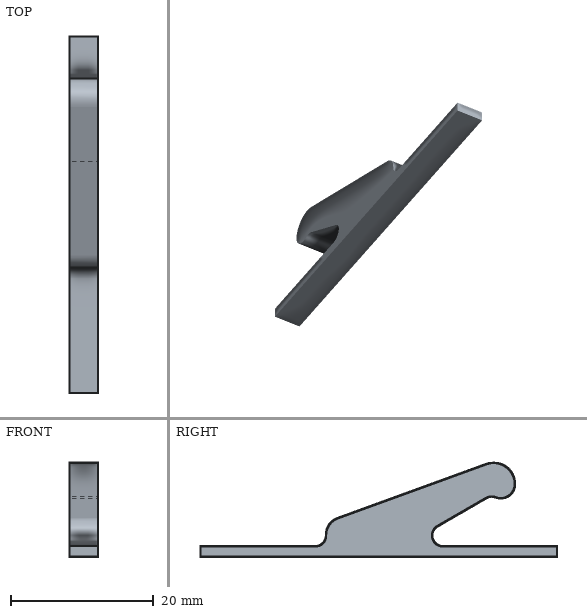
import cadquery as cq
import math

width = 4.0
length = 50.0
base_height = 1.5
overall_height = 13.2

head_end_y = 19.1
head_upper_radius = 3.0
head_lower_radius = 2.0
top_angle = math.radians(20)
underside_angle = math.radians(30)
nose_wall_y = -7.4
nose_radius = 2.5
fillet_radius = 1.5
throat_y = 9.0


def on_circle(center, radius, angle):
    """Point on a circle in the YZ plane; the angle runs from +Y towards +Z."""
    return (center[0] + radius * math.cos(angle), center[1] + radius * math.sin(angle))


def arc_to(sketch, center, radius, start_angle, end_angle):
    """Add an arc from the current point to the end angle."""
    middle = on_circle(center, radius, (start_angle + end_angle) / 2)
    return sketch.threePointArc(middle, on_circle(center, radius, end_angle))


head_z = overall_height - head_upper_radius
head_upper = (head_end_y - head_upper_radius, head_z)
head_lower = (head_end_y - head_lower_radius, head_z)

nose_y = nose_wall_y + nose_radius
nose_z = (
    head_z
    + (head_upper_radius - nose_radius) / math.cos(top_angle)
    - (head_upper[0] - nose_y) * math.tan(top_angle)
)
nose = (nose_y, nose_z)

fillet_z = base_height + fillet_radius
throat = (throat_y, fillet_z)
nose_fillet = (nose_wall_y - fillet_radius, fillet_z)

head_dy = head_lower[0] - throat[0]
head_dz = head_lower[1] - throat[1]
along = head_dy * math.cos(underside_angle) + head_dz * math.sin(underside_angle)
across = head_dz * math.cos(underside_angle) - head_dy * math.sin(underside_angle)
neck_distance = along - math.sqrt((head_lower_radius + fillet_radius) ** 2 - across**2)
neck = on_circle(throat, neck_distance, underside_angle)
neck_angle = math.atan2(head_lower[1] - neck[1], head_lower[0] - neck[0])

top_normal = math.pi / 2 + top_angle
underside_normal = math.pi / 2 + underside_angle

profile = (
    cq.Workplane("YZ", origin=(-width / 2, 0, 0))
    .moveTo(length / 2, 0)
    .lineTo(-length / 2, 0)
    .lineTo(-length / 2, base_height)
    .lineTo(nose_fillet[0], base_height)
)
profile = arc_to(profile, nose_fillet, fillet_radius, -math.pi / 2, 0)
profile = profile.lineTo(nose_wall_y, nose_z)
profile = arc_to(profile, nose, nose_radius, math.pi, top_normal)
profile = profile.lineTo(*on_circle(head_upper, head_upper_radius, top_normal))
profile = arc_to(profile, head_upper, head_upper_radius, top_normal, 0)
profile = arc_to(profile, head_lower, head_lower_radius, 0, neck_angle - math.pi)
profile = arc_to(profile, neck, fillet_radius, neck_angle, underside_normal)
profile = profile.lineTo(*on_circle(throat, fillet_radius, underside_normal))
profile = arc_to(profile, throat, fillet_radius, underside_normal, 3 * math.pi / 2)
profile = profile.lineTo(length / 2, base_height).close()

result = profile.extrude(width)